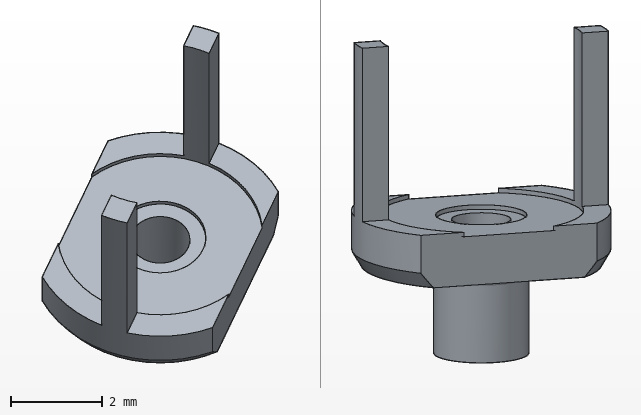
import cadquery as cq
import math

flange_diameter = 5.7
flange_width = 4.0
flange_thickness = 1.2
bevel_inset = 0.2
bevel_angle = 30.0
bevel_height = bevel_inset / math.tan(math.radians(bevel_angle))

stem_diameter = 2.1
stem_length = 2.0
stem_fillet = 0.25
bore_diameter = 1.3

recess_diameter = 4.5
recess_depth = 0.1
counterbore_diameter = 2.0
counterbore_depth = 0.1

pin_width = 0.6
pin_height = 3.9

flange_bottom = stem_length
flange_top = flange_bottom + flange_thickness
pin_top = flange_top + pin_height
recess_floor = flange_top - recess_depth
counterbore_floor = recess_floor - counterbore_depth


def cylinder(diameter, bottom, top):
    """Vertical cylinder on the part axis between two heights."""
    return cq.Workplane("XY").workplane(offset=bottom).circle(diameter / 2).extrude(top - bottom)


def make_body():
    """Flange and stem revolved together, then cut to the flange width."""
    flange_radius = flange_diameter / 2
    stem_radius = stem_diameter / 2
    fillet_offset = stem_fillet * (1 - math.sqrt(0.5))
    profile = (
        cq.Workplane("XZ")
        .moveTo(0, 0)
        .lineTo(stem_radius, 0)
        .lineTo(stem_radius, flange_bottom - stem_fillet)
        .threePointArc(
            (stem_radius + fillet_offset, flange_bottom - fillet_offset),
            (stem_radius + stem_fillet, flange_bottom),
        )
        .lineTo(flange_radius - bevel_inset, flange_bottom)
        .lineTo(flange_radius, flange_bottom + bevel_height)
        .lineTo(flange_radius, flange_top)
        .lineTo(0, flange_top)
        .close()
    )
    body = profile.revolve(360, (0, 0, 0), (0, 1, 0))
    flats = cq.Workplane("XY").rect(flange_width, flange_diameter).extrude(flange_top)
    return body.intersect(flats)


def make_pins():
    """Two opposite pins filling the rim between the recess and the flange edge."""
    bar = (
        cq.Workplane("XY")
        .workplane(offset=recess_floor)
        .rect(pin_width, flange_diameter)
        .extrude(pin_top - recess_floor)
    )
    rim = cylinder(flange_diameter, recess_floor, pin_top)
    opening = cylinder(recess_diameter, recess_floor, pin_top)
    return bar.intersect(rim).cut(opening)


def cut_openings(body):
    """Shallow recess, counterbore and through bore, all on the part axis."""
    body = body.cut(cylinder(recess_diameter, recess_floor, flange_top))
    body = body.cut(cylinder(counterbore_diameter, counterbore_floor, recess_floor))
    return body.cut(cylinder(bore_diameter, 0, flange_top))


result = cut_openings(make_body()).union(make_pins())